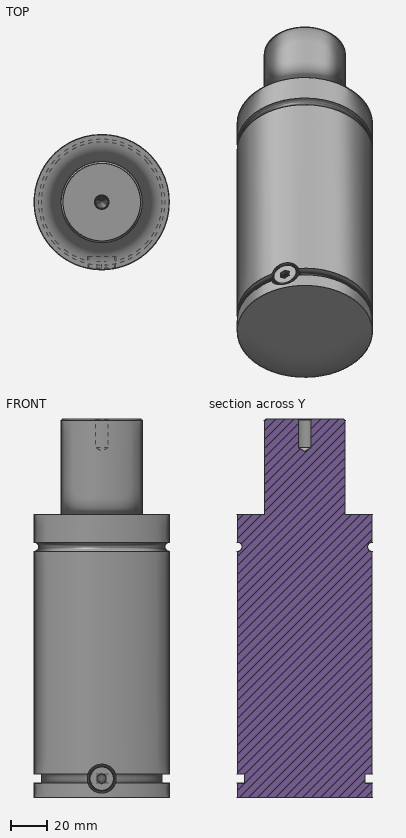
import cadquery as cq
import math

body_diameter = 75.0
body_radius = body_diameter / 2
collar_top = 157.0

base_groove_bottom = 8.0
base_groove_width = 5.0
base_groove_top = base_groove_bottom + base_groove_width
base_groove_depth = 4.0
base_groove_radius = body_radius - base_groove_depth

collar_groove_height = 139.0
collar_groove_arc_radius = 2.5
collar_groove_bottom = collar_groove_height - collar_groove_arc_radius
collar_groove_top = collar_groove_height + collar_groove_arc_radius

rod_diameter = 45.0
rod_radius = rod_diameter / 2
rod_top = 210.0
rod_chamfer = 1.0

rod_hole_diameter = 6.8
rod_hole_depth = 16.0
rod_hole_countersink_diameter = 8.0
drill_point_angle = 118.0

port_height = (base_groove_bottom + base_groove_top) / 2
port_bore_diameter = 16.0
port_floor_distance = 30.0
plug_diameter = 14.0
plug_face_distance = 37.0
plug_chamfer = 0.5
socket_across_flats = 5.0
socket_depth = 4.0


def revolve_about_z(profile):
    """Turn a closed profile in the XZ plane fully around the Z axis."""
    return profile.revolve(360, (0, 0, 0), (0, 1, 0))


def make_body_and_rod():
    """Cylinder body with both grooves, and the chamfered piston rod."""
    profile = (
        cq.Workplane("XZ")
        .lineTo(body_radius, 0)
        .lineTo(body_radius, base_groove_bottom)
        .lineTo(base_groove_radius, base_groove_bottom)
        .lineTo(base_groove_radius, base_groove_top)
        .lineTo(body_radius, base_groove_top)
        .lineTo(body_radius, collar_groove_bottom)
        .threePointArc(
            (body_radius - collar_groove_arc_radius, collar_groove_height),
            (body_radius, collar_groove_top),
        )
        .lineTo(body_radius, collar_top)
        .lineTo(rod_radius, collar_top)
        .lineTo(rod_radius, rod_top - rod_chamfer)
        .lineTo(rod_radius - rod_chamfer, rod_top)
        .lineTo(0, rod_top)
        .close()
    )
    return revolve_about_z(profile)


def make_rod_hole():
    """Blind hole with a 45 degree countersink and a conical drill point."""
    hole_radius = rod_hole_diameter / 2
    countersink_radius = rod_hole_countersink_diameter / 2
    countersink_depth = countersink_radius - hole_radius
    point_depth = hole_radius / math.tan(math.radians(drill_point_angle / 2))
    hole_floor = rod_top - rod_hole_depth
    profile = (
        cq.Workplane("XZ")
        .moveTo(0, rod_top)
        .lineTo(countersink_radius, rod_top)
        .lineTo(hole_radius, rod_top - countersink_depth)
        .lineTo(hole_radius, hole_floor)
        .lineTo(0, hole_floor - point_depth)
        .close()
    )
    return revolve_about_z(profile)


def port_workplane(distance):
    """Plane facing -Y on the port axis, at a distance from the body axis."""
    return cq.Workplane("XZ", origin=(0, -distance, port_height))


def make_port_bore():
    """Round bore from the port floor out to the body surface."""
    bore_depth = body_radius - port_floor_distance
    return port_workplane(port_floor_distance).circle(port_bore_diameter / 2).extrude(bore_depth)


def make_plug():
    """Chamfered plug on the port floor, with a hexagon socket pointing up."""
    plug_length = plug_face_distance - port_floor_distance
    plug = port_workplane(port_floor_distance).circle(plug_diameter / 2).extrude(plug_length)
    plug = plug.faces("<Y").chamfer(plug_chamfer)

    socket_across_corners = socket_across_flats / math.cos(math.pi / 6)
    socket = (
        port_workplane(plug_face_distance)
        .transformed(rotate=(0, 0, 90))
        .polygon(6, socket_across_corners)
        .extrude(-socket_depth)
    )
    return plug.cut(socket)


result = make_body_and_rod().cut(make_rod_hole())
result = result.cut(make_port_bore()).union(make_plug())